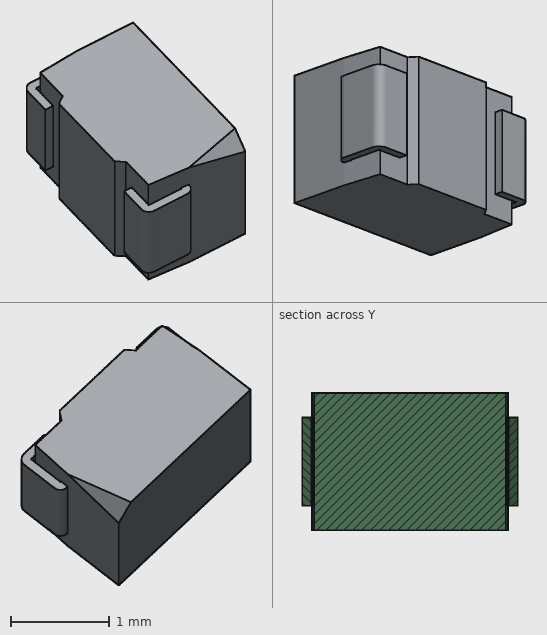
import cadquery as cq

lead_span = 2.2
part_depth = 1.3
body_height = 1.4

body_width = 2.0
body_ledge_width = 1.927
taper_start = 0.596
ledge_level = 0.119
pad_level = 0.026
pad_root_width = 1.129
pad_face_width = 0.985
corner_cut_width = 0.185
corner_cut_drop = corner_cut_width

lead_height = 0.9
lead_thickness = 0.097
lead_bend_radius = 0.095
foot_length = 0.4

body_top = body_height / 2
body_half_width = body_width / 2
lead_half_span = lead_span / 2
lead_inner_x = lead_half_span - lead_thickness


def flank_x(y):
    """Half width of the housing on its tapered flank at height y."""
    narrowing = (body_width - body_ledge_width) / 2
    return body_half_width - narrowing * (taper_start - y) / (taper_start - ledge_level)


def make_housing():
    """Tapered block with a raised centre pad and one sloped corner."""
    right_half = [
        (body_half_width, part_depth),
        (body_half_width, taper_start),
        (body_ledge_width / 2, ledge_level),
        (pad_root_width / 2, ledge_level),
        (pad_face_width / 2, pad_level),
    ]
    left_half = [(-x, y) for x, y in reversed(right_half)]
    block = (
        cq.Workplane("XY", origin=(0, 0, -body_top))
        .polyline(right_half + left_half)
        .close()
        .extrude(body_height)
    )
    return block.cut(make_corner_wedge())


def make_corner_wedge():
    """Tetrahedron whose sloped face forms the corner cut."""
    corner = cq.Vector(body_half_width, part_depth, body_top)
    along_x = corner - cq.Vector(corner_cut_width, 0, 0)
    along_y = cq.Vector(body_half_width, taper_start, body_top)
    below = corner - cq.Vector(0, 0, corner_cut_drop)
    triangles = [
        (corner, along_x, along_y),
        (corner, along_x, below),
        (corner, along_y, below),
        (along_x, along_y, below),
    ]
    faces = [cq.Face.makeFromWires(cq.Wire.makePolygon(points, close=True)) for points in triangles]
    return cq.Solid.makeSolid(cq.Shell.makeShell(faces))


def make_lead(side):
    """C-shaped lead; side is 1 for the +X end and -1 for the -X end."""
    arm_underside = taper_start - lead_thickness
    outline = [
        (flank_x(taper_start), taper_start),
        (lead_half_span, taper_start),
        (lead_half_span, 0),
        (lead_half_span - foot_length, 0),
        (lead_half_span - foot_length, lead_thickness),
        (lead_inner_x, lead_thickness),
        (lead_inner_x, arm_underside),
        (flank_x(arm_underside), arm_underside),
    ]
    return (
        cq.Workplane("XY", origin=(0, 0, -lead_height / 2))
        .polyline([(side * x, y) for x, y in outline])
        .close()
        .extrude(lead_height)
        .edges("|Z")
        .edges(">X" if side > 0 else "<X")
        .fillet(lead_bend_radius)
    )


housing = make_housing()
leads = [make_lead(side) for side in (-1, 1)]

result = cq.Compound.makeCompound([housing.val(), *[lead.val() for lead in leads]])